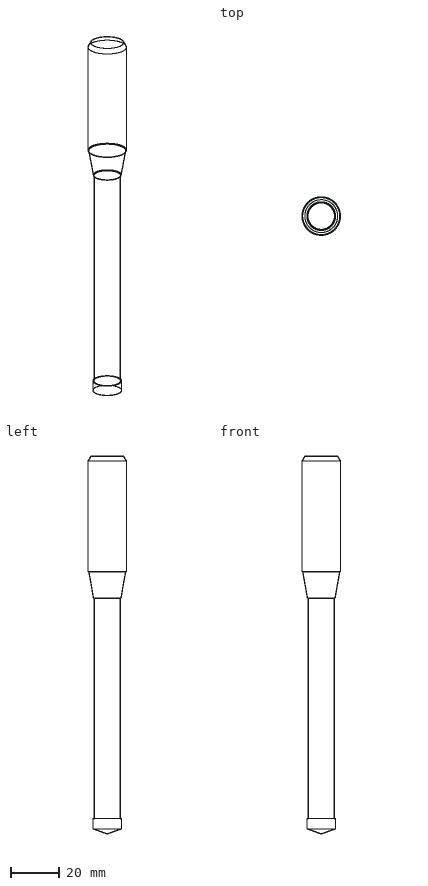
import cadquery as cq
import math

total_length = 157.2

shank_diameter = 16.0
shank_length = 48.0
chamfer_length = 2.0
chamfer_angle = 30.0

transition_length = 11.0
transition_top_diameter = 15.4
transition_bottom_diameter = 11.6
edge_bevel_length = 0.3
neck_diameter = 11.0

head_diameter = 12.0
head_length = 6.5
point_angle = 140.0

shank_radius = shank_diameter / 2
head_radius = head_diameter / 2
neck_radius = neck_diameter / 2
chamfer_width = chamfer_length * math.tan(math.radians(chamfer_angle))
point_height = head_radius / math.tan(math.radians(point_angle / 2))
shank_bottom = total_length - shank_length
transition_bottom = shank_bottom - transition_length


def revolve_profile(points):
    """Revolve a closed outline of (radius, height) points about the Z axis."""
    return cq.Workplane("XZ").polyline(points).close().revolve(360, (0, 0, 0), (0, 1, 0))


def make_holder():
    """Chamfered shank, conical transition and slender neck, ending on the cutting head."""
    return revolve_profile([
        (0, head_length),
        (neck_radius, head_length),
        (neck_radius, transition_bottom - edge_bevel_length),
        (transition_bottom_diameter / 2, transition_bottom),
        (transition_top_diameter / 2, shank_bottom - edge_bevel_length),
        (shank_radius, shank_bottom),
        (shank_radius, total_length - chamfer_length),
        (shank_radius - chamfer_width, total_length),
        (0, total_length),
    ])


def make_cutting_head():
    """Short cylindrical head with a conical point."""
    return revolve_profile([
        (0, 0),
        (head_radius, point_height),
        (head_radius, head_length),
        (0, head_length),
    ])


holder = make_holder()
cutting_head = make_cutting_head()

result = cq.Compound.makeCompound([holder.val(), cutting_head.val()])